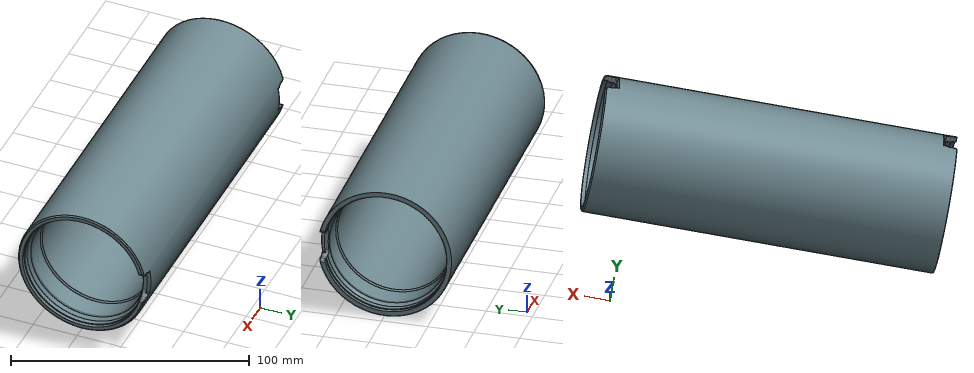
import cadquery as cq

length = 150.0
outer_diameter = 58.0
bore_diameter = 50.0
outer_chamfer = 0.6

seat_diameter = 51.2
seat_start = 6.5
seat_end = 15.8
seat_taper = 0.8
mouth_diameter = 53.8
mouth_depth = 1.6
ledge_diameter = 53.1
ledge_end = 3.9
lead_in_diameter = 51.3
lead_in_end = 5.7

notch_width = 12.6
notch_depth = 5.1
notch_corner_radius = 2.4
notch_mouth_radius = 1.2
bevel_length = 0.8
bevel_height = 1.4
bevel_angle = 22

outer_radius = outer_diameter / 2
bore_radius = bore_diameter / 2
seat_radius = seat_diameter / 2
mouth_radius = mouth_diameter / 2
ledge_radius = ledge_diameter / 2
lead_in_radius = lead_in_diameter / 2


def make_tube():
    """Revolve the wall section, which has the same bore steps at both ends."""
    bore_steps = [
        (0, mouth_radius),
        (mouth_depth, mouth_radius),
        (mouth_depth, ledge_radius),
        (ledge_end, ledge_radius),
        (lead_in_end, lead_in_radius),
        (seat_start, seat_radius),
        (seat_end, seat_radius),
        (seat_end + seat_taper, bore_radius),
    ]
    far_steps = [(length - x, radius) for x, radius in reversed(bore_steps)]
    outside = [
        (length, outer_radius - outer_chamfer),
        (length - outer_chamfer, outer_radius),
        (0, outer_radius),
    ]
    section = cq.Workplane("XY").polyline(bore_steps + far_steps + outside).close()
    return section.revolve(360, (0, 0, 0), (1, 0, 0))


def make_notch():
    """Cutter for the notch at X = 0, with round corners, a flared mouth and a beveled floor edge."""
    half_width = notch_width / 2
    flare = half_width + notch_mouth_radius
    floor_half = half_width - notch_corner_radius
    corner_start = notch_depth - notch_corner_radius
    opening = (
        cq.Workplane("XZ")
        .moveTo(0, -flare)
        .radiusArc((notch_mouth_radius, -half_width), notch_mouth_radius)
        .lineTo(corner_start, -half_width)
        .radiusArc((notch_depth, -floor_half), -notch_corner_radius)
        .lineTo(notch_depth, floor_half)
        .radiusArc((corner_start, half_width), -notch_corner_radius)
        .lineTo(notch_mouth_radius, half_width)
        .radiusArc((0, flare), notch_mouth_radius)
        .close()
        .extrude(-outer_diameter)
    )
    bevel_bottom = outer_radius - bevel_height
    floor_bevel = (
        cq.Workplane("XY")
        .polyline([
            (corner_start, bevel_bottom),
            (notch_depth, bevel_bottom),
            (notch_depth + bevel_length, outer_radius),
            (corner_start, outer_radius),
        ])
        .close()
        .revolve(bevel_angle, (0, 0, 0), (1, 0, 0))
        .rotate((0, 0, 0), (1, 0, 0), -bevel_angle / 2)
    )
    return opening.union(floor_bevel)


near_notch = make_notch()
far_notch = near_notch.mirror("YZ").translate((length, 0, 0))
result = make_tube().cut(near_notch).cut(far_notch)